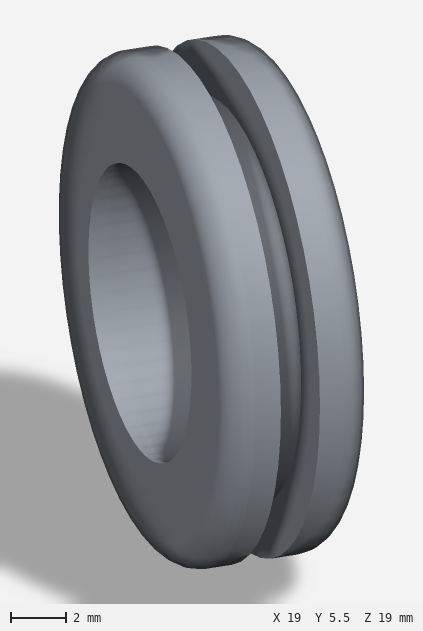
import cadquery as cq

outer_diameter = 19.0
bore_diameter = 11.0
groove_diameter = 15.0
flange_thickness = 2.0
groove_width = 1.5
edge_radius = 1.0

total_width = 2 * flange_thickness + groove_width


def cylinder(diameter, length):
    """Cylinder along Y, centred on the origin."""
    end_plane = cq.Workplane("XZ", origin=(0, length / 2, 0))
    return end_plane.circle(diameter / 2).extrude(length)


body = cylinder(outer_diameter, total_width)
body = body.faces("<Y or >Y").edges().fillet(edge_radius)

groove = cylinder(outer_diameter, groove_width).cut(cylinder(groove_diameter, groove_width))

bore = cylinder(bore_diameter, total_width)

result = body.cut(groove).cut(bore)